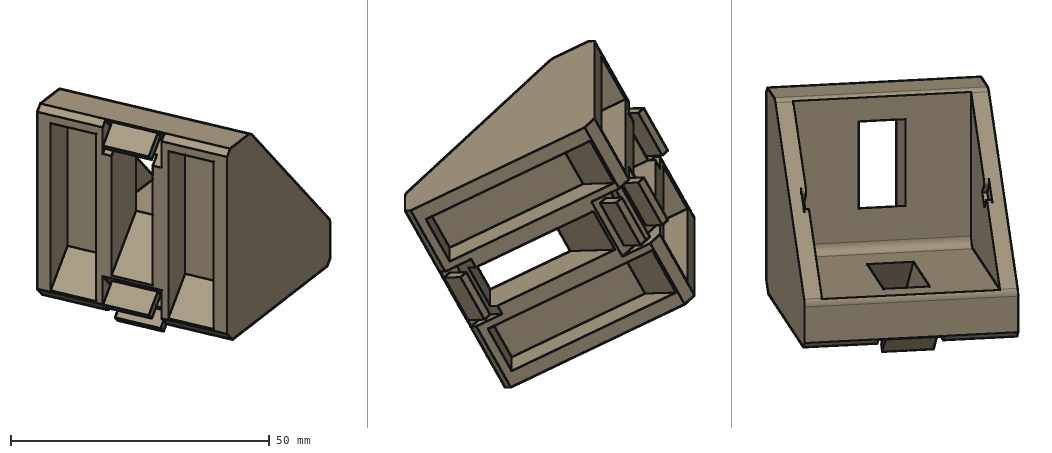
import cadquery as cq
import math


width = 42.0
leg = 41.3
end_flat = 9.33
end_round = 2.0
end_chamfer = 1.25
corner_chamfer = 2.13
slant_sum = leg + end_flat

side_wall = 3.5
cavity_width = width - 2 * side_wall
cavity_offset = 9.8
cavity_round = 2.0

slot_width = 9.1
slot_start = 8.77
slot_end = 36.0

pocket_width = 10.0
pocket_depth = 6.75
pocket_start = 2.48
pocket_end = 38.3
pocket_margin = 3.0
pocket_x = width / 2 - pocket_margin - pocket_width / 2

tab_width = 10.1
tab_thickness = 1.7
tab_reach = 2.47
tab_inset = 0.07
tab_pitch = 34.0
notch_width = 13.0
end_notch_sum = 42.18
corner_notch_sum = end_notch_sum - tab_pitch
end_notch_start = 34.4
corner_notch_start = 1.05
corner_rib_sum = 5.5
end_tab_line = leg - end_chamfer - tab_inset * math.sqrt(2)
corner_tab_line = end_tab_line - tab_pitch

groove_depth = 1.0
groove_width = 3.2
groove_length = 3.5
groove_round = 1.0


def extrude_section(points, x_width, x_middle=0.0):
    """Prism along X from a closed list of (y, z) points."""
    start = cq.Workplane("YZ").workplane(offset=x_middle - x_width / 2)
    return start.polyline(points).close().extrude(x_width)


def on_both_legs(points, x_width, x_middle=0.0):
    """Prism on the front leg together with its copy on the bottom leg."""
    swapped = [(z, y) for y, z in points]
    front = extrude_section(points, x_width, x_middle)
    return front.union(extrude_section(swapped, x_width, x_middle))


def slant_point(total, difference):
    """Point (y, z) where y + z = total and z - y = difference."""
    return ((total - difference) / 2, (total + difference) / 2)


def make_body():
    outline = [
        (corner_chamfer, 0),
        (leg - end_chamfer, 0),
        (leg, end_chamfer),
        (leg, end_flat),
        (end_flat, leg),
        (end_chamfer, leg),
        (0, leg - end_chamfer),
        (0, corner_chamfer),
    ]
    body = extrude_section(outline, width)
    for y, z in [(leg, end_flat), (end_flat, leg)]:
        edge = cq.selectors.NearestToPointSelector((0, y, z))
        body = body.edges(edge).fillet(end_round)
    return body


def make_cavity():
    reach = 2 * leg
    start = cq.Workplane("YZ").workplane(offset=-cavity_width / 2)
    square = start.moveTo(cavity_offset, cavity_offset).rect(reach, reach, centered=False)
    block = square.extrude(cavity_width)
    inner_edge = cq.selectors.NearestToPointSelector((0, cavity_offset, cavity_offset))
    return block.edges(inner_edge).fillet(cavity_round)


def leg_opening(start, end, depth):
    """Opening in the front leg whose lower end slopes up inward at 45 degrees."""
    return [(0, start), (depth, start + depth), (depth, end), (0, end)]


def notch(base_sum, start):
    """Triangular notch in the front leg, between its base and its sloping floor."""
    return [(0, start), slant_point(base_sum, start), (0, base_sum)]


def tab(base_sum, outer_line):
    """Slanted tab standing on the base of a notch of the front leg."""
    tip_sum = outer_line - 2 * tab_reach
    inner_line = outer_line - tab_thickness * math.sqrt(2)
    return [
        slant_point(base_sum, outer_line),
        slant_point(tip_sum, outer_line),
        slant_point(tip_sum, inner_line),
        slant_point(base_sum, inner_line),
    ]


def make_groove_cutter():
    """Groove with rounded mouth, drawn along the slanted side and turned into place."""
    half = groove_width / 2
    mouth = half + groove_round
    profile = (
        cq.Workplane("YZ")
        .workplane(offset=-cavity_width / 2 - groove_depth)
        .moveTo(-mouth, 0)
        .radiusArc((-half, -groove_round), groove_round)
        .lineTo(-half, -groove_length)
        .lineTo(half, -groove_length)
        .lineTo(half, -groove_round)
        .radiusArc((mouth, 0), groove_round)
        .close()
    )
    cutter = profile.extrude(cavity_width + 2 * groove_depth)
    turned = cutter.rotate((0, 0, 0), (1, 0, 0), -45)
    return turned.translate((0, slant_sum / 2, slant_sum / 2))


result = make_body().cut(make_cavity())

result = result.cut(on_both_legs(leg_opening(slot_start, slot_end, cavity_offset), slot_width))
for x in (-pocket_x, pocket_x):
    result = result.cut(on_both_legs(leg_opening(pocket_start, pocket_end, pocket_depth), pocket_width, x))

result = result.cut(on_both_legs(notch(end_notch_sum, end_notch_start), notch_width))
result = result.cut(on_both_legs(notch(corner_notch_sum, corner_notch_start), notch_width))
result = result.cut(extrude_section([(0, 0), (corner_rib_sum, 0), (0, corner_rib_sum)], notch_width))

result = result.cut(make_groove_cutter())

result = result.union(on_both_legs(tab(end_notch_sum, end_tab_line), tab_width))
result = result.union(on_both_legs(tab(corner_notch_sum, corner_tab_line), tab_width))